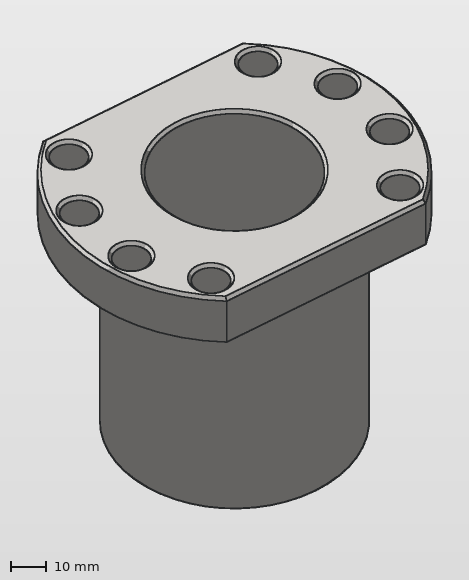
import cadquery as cq

FLANGE_DIAMETER = 109.6
FLANGE_WIDTH = 85.0
FLANGE_THICKNESS = 16.0
TOTAL_HEIGHT = 93.0
BODY_DIAMETER = 75.0
BORE_DIAMETER = 50.0
EDGE_CHAMFER = 1.0

PITCH_RADIUS = 46.5
BOLT_HOLE_DIAMETER = 11.0
BOLT_HOLE_ANGLES = (45, 75, 105, 135, 225, 255, 285, 315)

OIL_HOLE_ANGLE = (BOLT_HOLE_ANGLES[2] + BOLT_HOLE_ANGLES[3]) / 2
OIL_HOLE_DIAMETER = 4.0
OIL_HOLE_MOUTH_DIAMETER = 5.2
OIL_HOLE_DEPTH = 16.5

BODY_LENGTH = TOTAL_HEIGHT - FLANGE_THICKNESS


def make_flange():
    """Round flange with two flats, chamfered around its top edge; its underside is at Z = 0."""
    disc = cq.Workplane("XY").circle(FLANGE_DIAMETER / 2).extrude(FLANGE_THICKNESS)
    band = cq.Workplane("XY").rect(FLANGE_WIDTH, FLANGE_DIAMETER).extrude(FLANGE_THICKNESS)
    return disc.intersect(band).faces(">Z").edges().chamfer(EDGE_CHAMFER)


def make_body():
    """Cylindrical nut body hanging below the flange."""
    body = cq.Workplane("XY").circle(BODY_DIAMETER / 2).extrude(-BODY_LENGTH)
    return body.faces("<Z").edges().chamfer(EDGE_CHAMFER)


def make_chamfered_hole(diameter, mouth_diameter, depth):
    """Cutter running down from the origin, with a 45 degree chamfer at its mouth."""
    radius = diameter / 2
    mouth_radius = mouth_diameter / 2
    chamfer = mouth_radius - radius
    profile = [(0, 0), (mouth_radius, 0), (radius, -chamfer), (radius, -depth), (0, -depth)]
    return cq.Workplane("XZ").polyline(profile).close().revolve(360, (0, 0, 0), (0, 1, 0))


def make_bolt_holes():
    """Through holes in the flange, each chamfered at the top face."""
    mouth_diameter = BOLT_HOLE_DIAMETER + 2 * EDGE_CHAMFER
    hole = make_chamfered_hole(BOLT_HOLE_DIAMETER, mouth_diameter, FLANGE_THICKNESS)
    hole = hole.translate((PITCH_RADIUS, 0, FLANGE_THICKNESS))
    holes = cq.Workplane("XY")
    for angle in BOLT_HOLE_ANGLES:
        holes = holes.add(hole.rotate((0, 0, 0), (0, 0, 1), angle))
    return holes.combine()


def make_bore():
    """Central bore through the whole part, chamfered at the top face."""
    mouth_diameter = BORE_DIAMETER + 2 * EDGE_CHAMFER
    bore = make_chamfered_hole(BORE_DIAMETER, mouth_diameter, TOTAL_HEIGHT)
    return bore.translate((0, 0, FLANGE_THICKNESS))


def make_oil_hole():
    """Blind radial hole in the flange rim, at mid-thickness, chamfered at its mouth."""
    hole = make_chamfered_hole(OIL_HOLE_DIAMETER, OIL_HOLE_MOUTH_DIAMETER, OIL_HOLE_DEPTH)
    hole = hole.rotate((0, 0, 0), (0, 1, 0), 90)
    hole = hole.translate((FLANGE_DIAMETER / 2, 0, FLANGE_THICKNESS / 2))
    return hole.rotate((0, 0, 0), (0, 0, 1), OIL_HOLE_ANGLE)


result = make_flange().union(make_body())
result = result.cut(make_bore()).cut(make_bolt_holes()).cut(make_oil_hole())